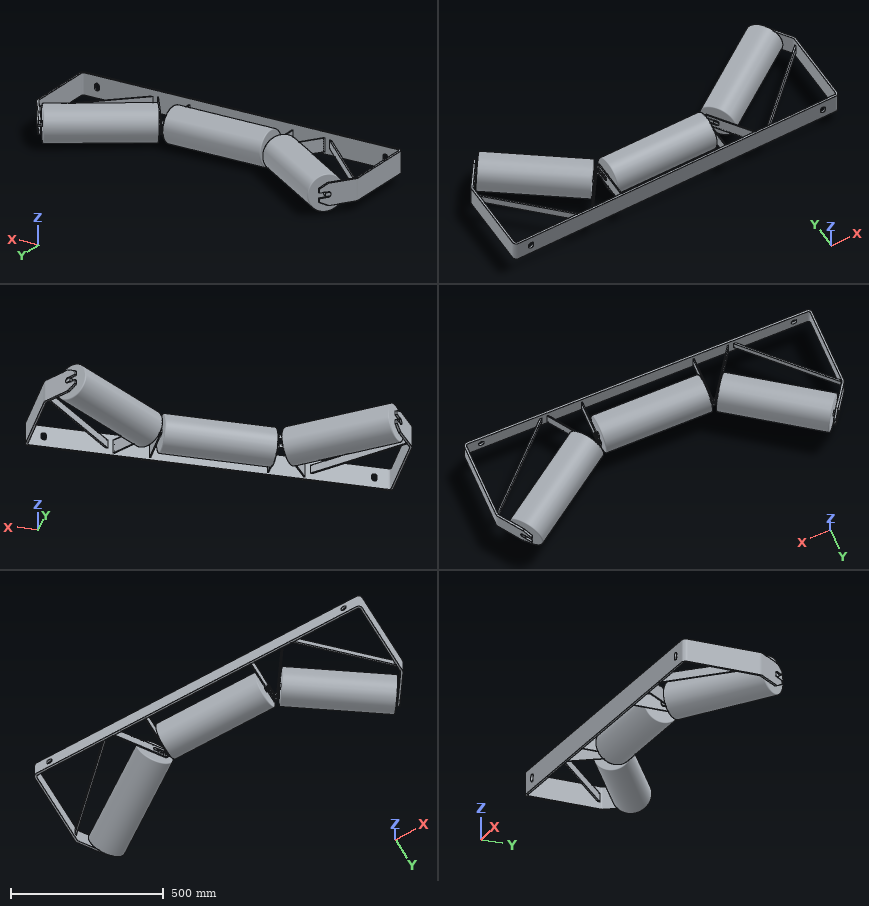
import cadquery as cq
import math

FRAME_LENGTH = 1240.0
BAR_THICKNESS = 8.0
BAR_HEIGHT = 80.0
TROUGH_ANGLE = 35.0

ROLLER_DIAMETER = 133.0
ROLLER_LENGTH = 380.0
ROLLER_EDGE_FILLET = 4.0
AXLE_DIAMETER = 20.0
AXLE_FLATS = 14.0
AXLE_SHOULDER = 4.0
MIDDLE_AXIS_Y = 125.5
INNER_AXIS_DROP = 7.0
SIDE_ROLLER_X = -393.0
SIDE_ROLLER_Y = 249.76

BASE_CORNER_RADIUS = 15.0
ARM_BEND_RADIUS = 20.0
ARM_GAP = 6.5
ARM_PAST_AXLE = 31.0
AXLE_SLOT_LENGTH = 60.0
ARM_CHAMFER_LENGTH = 32.0
ARM_CHAMFER_WIDTH = 16.0
MOUNT_HOLE_X = -557.0
MOUNT_HOLE_WIDTH = 18.0
MOUNT_HOLE_HEIGHT = 26.0

PLATE_THICKNESS = 4.0
BRACKET_HEIGHT = 50.0
BRACKET_TOP_Y = 168.0
SLOPED_PLATE_GAP = 5.5
UPRIGHT_GAP = 7.0
STRUT_HEIGHT = 30.0
STRUT_THICKNESS = 6.0
STRUT_FOOT_X = -341.0
STRUT_TOP_Y = 272.0

SIN = math.sin(math.radians(TROUGH_ANGLE))
COS = math.cos(math.radians(TROUGH_ANGLE))
HALF_LENGTH = FRAME_LENGTH / 2
HALF_ROLLER = ROLLER_LENGTH / 2
OUTER_AXLE_REACH = HALF_ROLLER + ARM_GAP + BAR_THICKNESS
INNER_AXLE_REACH = HALF_ROLLER + SLOPED_PLATE_GAP + PLATE_THICKNESS
MIDDLE_AXLE_REACH = HALF_ROLLER + UPRIGHT_GAP + PLATE_THICKNESS
TILT = math.asin(INNER_AXIS_DROP / (OUTER_AXLE_REACH + INNER_AXLE_REACH))
SLOT_OVERRUN = 2.0

SIDE_PLANE = cq.Plane(
    origin=(SIDE_ROLLER_X, SIDE_ROLLER_Y, -OUTER_AXLE_REACH * math.sin(TILT)),
    xDir=(-SIN, -COS, 0),
    normal=(COS * math.cos(TILT), -SIN * math.cos(TILT), -math.sin(TILT)),
)
MIDDLE_PLANE = cq.Plane(
    origin=(0, MIDDLE_AXIS_Y, -INNER_AXIS_DROP), xDir=(0, -1, 0), normal=(1, 0, 0)
)


def side_point(along, across):
    """XY point: distance along the side roller's axis (inward) and across it (upward)."""
    return (
        SIDE_ROLLER_X + along * COS + across * SIN,
        SIDE_ROLLER_Y - along * SIN + across * COS,
    )


def axle(plane, start_reach, end_reach):
    """Round bar with two flats milled on each end."""
    bar = (
        cq.Workplane(plane)
        .workplane(offset=-start_reach)
        .circle(AXLE_DIAMETER / 2)
        .extrude(start_reach + end_reach)
    )
    for end, reach in ((-1, start_reach), (1, end_reach)):
        for side in (-1, 1):
            waste = (
                cq.Workplane(plane)
                .workplane(offset=end * (HALF_ROLLER + AXLE_SHOULDER))
                .center(0, side * (AXLE_FLATS + AXLE_DIAMETER) / 2)
                .rect(AXLE_DIAMETER, AXLE_DIAMETER)
                .extrude(end * reach)
            )
            bar = bar.cut(waste)
    return bar


def roller(plane, start_reach, end_reach):
    """Drum with rounded rims, in one piece with its axle."""
    drum = (
        cq.Workplane(plane)
        .workplane(offset=-HALF_ROLLER)
        .circle(ROLLER_DIAMETER / 2)
        .extrude(ROLLER_LENGTH)
        .edges("%CIRCLE")
        .fillet(ROLLER_EDGE_FILLET)
    )
    return drum.union(axle(plane, start_reach, end_reach))


def axle_slot(plane, reach):
    """Round-bottomed slot for an axle, open toward the local -X side of the plane."""
    length = 2 * (reach + SLOT_OVERRUN)
    axis = cq.Workplane(plane).workplane(offset=-length / 2)
    seat = axis.circle(AXLE_DIAMETER / 2).extrude(length)
    mouth = (
        axis.center(-AXLE_SLOT_LENGTH / 2, 0).rect(AXLE_SLOT_LENGTH, AXLE_DIAMETER).extrude(length)
    )
    return seat.union(mouth)


def y_at_x(point, x):
    """Y at which the line through the point, square to the side roller, reaches x."""
    return point[1] + (x - point[0]) * COS / SIN


def x_at_y(point, y):
    """X at which the line through the point, square to the side roller, reaches y."""
    return point[0] + (y - point[1]) * SIN / COS


def round_corner(body, point, radius):
    """Fillet the vertical edge nearest to an XY point."""
    near = cq.selectors.NearestToPointSelector((point[0], point[1], 0))
    return body.edges("|Z").edges(near).fillet(radius)


def bar_half():
    """Left half of the flat bar: base, upright side and inclined arm."""
    outer_tip = side_point(-OUTER_AXLE_REACH, ARM_PAST_AXLE)
    inner_tip = side_point(-HALF_ROLLER - ARM_GAP, ARM_PAST_AXLE)
    outer_x = -HALF_LENGTH
    inner_x = outer_x + BAR_THICKNESS
    outer_bend = (outer_x, y_at_x(outer_tip, outer_x))
    inner_bend = (inner_x, y_at_x(inner_tip, inner_x))
    bar = (
        cq.Workplane("XY", origin=(0, 0, -BAR_HEIGHT / 2))
        .polyline(
            [
                (0, 0),
                (outer_x, 0),
                outer_bend,
                outer_tip,
                inner_tip,
                inner_bend,
                (inner_x, BAR_THICKNESS),
                (0, BAR_THICKNESS),
            ]
        )
        .close()
        .extrude(BAR_HEIGHT)
    )
    bar = round_corner(bar, (outer_x, 0), BASE_CORNER_RADIUS)
    bar = round_corner(bar, (inner_x, BAR_THICKNESS), BASE_CORNER_RADIUS - BAR_THICKNESS)
    bar = round_corner(bar, outer_bend, ARM_BEND_RADIUS)
    bar = round_corner(bar, inner_bend, ARM_BEND_RADIUS - BAR_THICKNESS)
    return bar.cut(arm_tip_corners()).cut(mount_hole())


def arm_tip_corners():
    """Waste taken off the two corners of the arm's tip."""
    arm_plane = cq.Plane(
        origin=(*side_point(-OUTER_AXLE_REACH, ARM_PAST_AXLE), 0),
        xDir=(SIN, COS, 0),
        normal=(COS, -SIN, 0),
    )
    edge = BAR_HEIGHT / 2
    upper = (
        cq.Workplane(arm_plane)
        .polyline([(0, edge), (-ARM_CHAMFER_LENGTH, edge), (0, edge - ARM_CHAMFER_WIDTH)])
        .close()
        .extrude(BAR_THICKNESS)
    )
    return upper.union(upper.mirror("XY"))


def mount_hole():
    return (
        cq.Workplane("XZ", origin=(MOUNT_HOLE_X, 0, 0))
        .slot2D(MOUNT_HOLE_HEIGHT, MOUNT_HOLE_WIDTH, 90)
        .extrude(-BAR_THICKNESS)
    )


def bracket():
    """Folded plate: upright for the middle roller, flange and sloped plate for the side roller."""
    front_x = -HALF_ROLLER - UPRIGHT_GAP
    outer = side_point(HALF_ROLLER + SLOPED_PLATE_GAP, 0)
    inner = side_point(INNER_AXLE_REACH, 0)
    flange_y = BRACKET_TOP_Y - PLATE_THICKNESS
    back_x = front_x - PLATE_THICKNESS
    return (
        cq.Workplane("XY", origin=(0, 0, -INNER_AXIS_DROP - BRACKET_HEIGHT / 2))
        .polyline(
            [
                (front_x, BAR_THICKNESS),
                (front_x, BRACKET_TOP_Y),
                (x_at_y(outer, BRACKET_TOP_Y), BRACKET_TOP_Y),
                (x_at_y(outer, BAR_THICKNESS), BAR_THICKNESS),
                (x_at_y(inner, BAR_THICKNESS), BAR_THICKNESS),
                (x_at_y(inner, flange_y), flange_y),
                (back_x, flange_y),
                (back_x, BAR_THICKNESS),
            ]
        )
        .close()
        .extrude(BRACKET_HEIGHT)
    )


def strut():
    """Brace from the top of the upright side down to the base."""
    top_x = -HALF_LENGTH + BAR_THICKNESS
    run = STRUT_FOOT_X - top_x
    rise = STRUT_TOP_Y - BAR_THICKNESS
    length = math.hypot(run, rise)
    width_in_x = STRUT_THICKNESS * length / rise
    width_in_y = STRUT_THICKNESS * length / run
    return (
        cq.Workplane("XY", origin=(0, 0, -STRUT_HEIGHT / 2))
        .polyline(
            [
                (top_x, STRUT_TOP_Y),
                (STRUT_FOOT_X, BAR_THICKNESS),
                (STRUT_FOOT_X - width_in_x, BAR_THICKNESS),
                (top_x, STRUT_TOP_Y - width_in_y),
            ]
        )
        .close()
        .extrude(STRUT_HEIGHT)
    )


def frame_half():
    """Left half of the welded frame, slotted for the axles."""
    slotted_bracket = bracket().cut(axle_slot(MIDDLE_PLANE, MIDDLE_AXLE_REACH))
    welded = bar_half().union(slotted_bracket).union(strut())
    return welded.cut(axle_slot(SIDE_PLANE, OUTER_AXLE_REACH))


left_half = frame_half()
frame = left_half.union(left_half.mirror("YZ")).clean()

left_roller = roller(SIDE_PLANE, OUTER_AXLE_REACH, INNER_AXLE_REACH)
right_roller = left_roller.mirror("YZ")
middle_roller = roller(MIDDLE_PLANE, MIDDLE_AXLE_REACH, MIDDLE_AXLE_REACH)

result = cq.Compound.makeCompound(
    [frame.val(), left_roller.val(), middle_roller.val(), right_roller.val()]
)